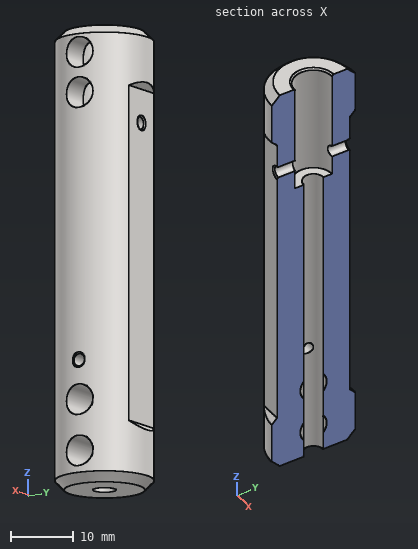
import cadquery as cq

BODY_DIAMETER = 16.0
BODY_RADIUS = BODY_DIAMETER / 2
LENGTH = 75.0
END_CHAMFER = 1.5

BORE_DIAMETER = 3.7
SOCKET_DIAMETER = 7.0
SOCKET_DEPTH = 20.0
SOCKET_MOUTH_DIAMETER = 7.6

FLAT_DISTANCE = 7.0
FLAT_DEPTH = BODY_RADIUS - FLAT_DISTANCE
FLAT_END_MARGIN = 10.0

PIN_DIAMETER = 2.0
PIN_MOUTH_DIAMETER = 2.5
UPPER_PIN_Z = 59.5
LOWER_PIN_Z = 20.0

SIDE_HOLE_DIAMETER = 5.0
LOWER_PAIR_END_DISTANCE = 5.1
LOWER_PAIR_SPACING = 8.4
UPPER_PAIR_END_DISTANCE = 4.5
UPPER_PAIR_SPACING = 6.6
SIDE_HOLE_HEIGHTS = (
    LOWER_PAIR_END_DISTANCE,
    LOWER_PAIR_END_DISTANCE + LOWER_PAIR_SPACING,
    LENGTH - UPPER_PAIR_END_DISTANCE - UPPER_PAIR_SPACING,
    LENGTH - UPPER_PAIR_END_DISTANCE,
)


def make_body():
    bar = cq.Workplane("XY").circle(BODY_RADIUS).extrude(LENGTH)
    return bar.faces("<Z or >Z").chamfer(END_CHAMFER)


def make_flat_cutter(side):
    """Trapezoidal prism that cuts the flat on the +Y (side=1) or -Y (side=-1) face."""
    bottom = FLAT_END_MARGIN
    top = LENGTH - FLAT_END_MARGIN
    profile = [
        (side * FLAT_DISTANCE, bottom),
        (side * BODY_RADIUS, bottom - FLAT_DEPTH),
        (side * BODY_RADIUS, top + FLAT_DEPTH),
        (side * FLAT_DISTANCE, top),
    ]
    return cq.Workplane("YZ").polyline(profile).close().extrude(BODY_RADIUS, both=True)


def make_axial_bore():
    socket_radius = SOCKET_DIAMETER / 2
    mouth_radius = SOCKET_MOUTH_DIAMETER / 2
    mouth_depth = mouth_radius - socket_radius
    socket_floor = LENGTH - SOCKET_DEPTH
    profile = [
        (0, 0),
        (BORE_DIAMETER / 2, 0),
        (BORE_DIAMETER / 2, socket_floor),
        (socket_radius, socket_floor),
        (socket_radius, LENGTH - mouth_depth),
        (mouth_radius, LENGTH),
        (0, LENGTH),
    ]
    return cq.Workplane("XZ").polyline(profile).close().revolve(360, (0, 0), (0, 1))


def make_pin_cutter(z, surface_distance):
    """Pin hole along X at height z, countersunk where it meets both outer surfaces."""
    pin_radius = PIN_DIAMETER / 2
    mouth_radius = PIN_MOUTH_DIAMETER / 2
    mouth_depth = mouth_radius - pin_radius
    reach = BODY_DIAMETER
    neck = surface_distance - mouth_depth
    profile = [
        (-reach, 0),
        (-reach, mouth_radius),
        (-surface_distance, mouth_radius),
        (-neck, pin_radius),
        (neck, pin_radius),
        (surface_distance, mouth_radius),
        (reach, mouth_radius),
        (reach, 0),
    ]
    cutter = cq.Workplane("XY").polyline(profile).close().revolve(360, (0, 0), (1, 0))
    return cutter.translate((0, 0, z))


def make_side_hole(z):
    return cq.Workplane("YZ").center(0, z).circle(SIDE_HOLE_DIAMETER / 2).extrude(BODY_RADIUS)


result = make_body()
for flat_side in (-1, 1):
    result = result.cut(make_flat_cutter(flat_side))
result = result.cut(make_axial_bore())
result = result.cut(make_pin_cutter(LOWER_PIN_Z, BODY_RADIUS))
upper_pin = make_pin_cutter(UPPER_PIN_Z, FLAT_DISTANCE)
result = result.cut(upper_pin.rotate((0, 0, 0), (0, 0, 1), 90))
for hole_z in SIDE_HOLE_HEIGHTS:
    result = result.cut(make_side_hole(hole_z))